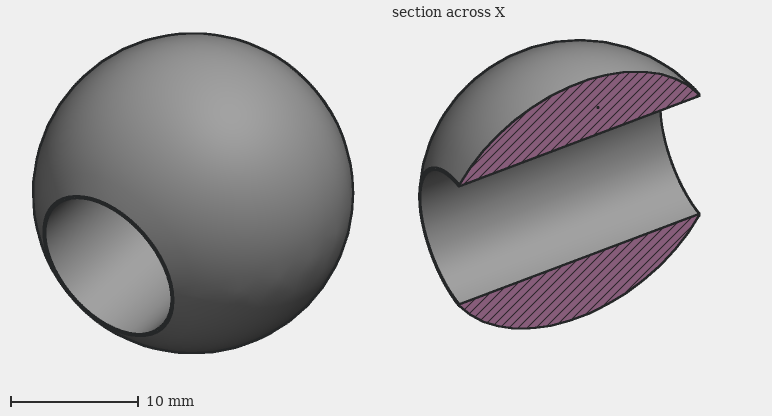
import math

import cadquery as cq

ball_diameter = 25.0
width = 21.42
bore_diameter = 12.5

ball_radius = ball_diameter / 2
bore_radius = bore_diameter / 2
half_width = width / 2
flat_radius = math.sqrt(ball_radius**2 - half_width**2)

section = (
    cq.Workplane("XY")
    .moveTo(bore_radius, -half_width)
    .lineTo(flat_radius, -half_width)
    .threePointArc((ball_radius, 0), (flat_radius, half_width))
    .lineTo(bore_radius, half_width)
    .close()
)

result = section.revolve(360, (0, 0, 0), (0, 1, 0))